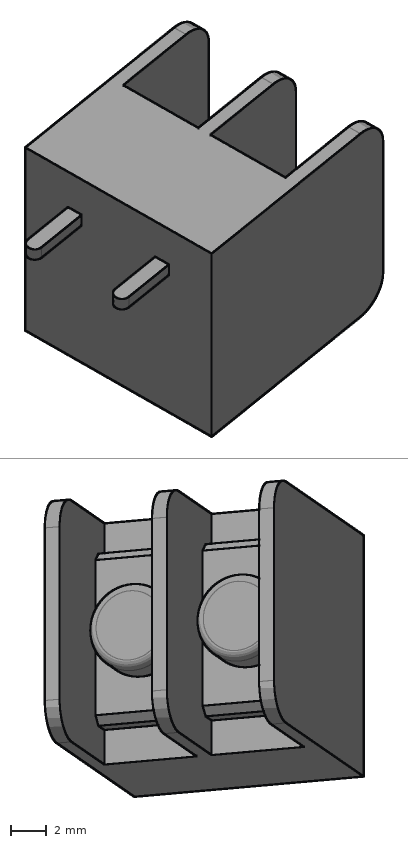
import cadquery as cq


width = 13.7
height = 14.0
total_depth = 19
housing_depth = 15.0
base_depth = 7.5
barrier_thickness = 0.9
corner_radius = 2.0

way_count = 2
barrier_count = way_count + 1
bay_width = (width - barrier_count * barrier_thickness) / way_count
pitch = bay_width + barrier_thickness
way_centers = [(i - (way_count - 1) / 2) * pitch for i in range(way_count)]

pad_thickness = 1.5
pad_height = 10.0
pad_chamfer = 0.5

screw_diameter = 5.0
head_thickness = 2.0
head_fillet = 0.5

pin_width = 1.0
pin_thickness = 0.8
pin_length = total_depth - housing_depth
pin_bottom = 10.5

mid_height = height / 2
pad_face = base_depth + pad_thickness


def block(size_x, size_y, size_z, center_x, start_y, bottom_z):
    """Box centred on center_x, growing in +Y from start_y and in +Z from bottom_z."""
    return (
        cq.Workplane("XY")
        .box(size_x, size_y, size_z, centered=(True, False, False))
        .translate((center_x, start_y, bottom_z))
    )


def make_barrier(center_x):
    """Full-depth plate with its two +Y corners rounded."""
    plate = block(barrier_thickness, housing_depth, height, center_x, 0, 0)
    return plate.faces(">Y").edges("|X").fillet(corner_radius)


def make_pad(center_x):
    """Raised seat filling a bay, chamfered along its upper and lower edges."""
    pad = block(bay_width, pad_thickness, pad_height, center_x, base_depth, mid_height - pad_height / 2)
    return pad.faces(">Y").edges("|X").chamfer(pad_chamfer)


def make_housing():
    """Base block joined to its barriers and screw pads."""
    housing = block(width, base_depth, height, 0, 0, 0)
    for i in range(barrier_count):
        housing = housing.union(make_barrier((i - way_count / 2) * pitch))
    for center_x in way_centers:
        housing = housing.union(make_pad(center_x))
    return housing


def make_screw(center_x):
    """Round screw head resting on its pad, with a filleted outer rim."""
    head = (
        cq.Workplane("XZ", origin=(center_x, pad_face, mid_height))
        .circle(screw_diameter / 2)
        .extrude(-head_thickness)
    )
    return head.faces(">Y").edges().fillet(head_fillet)


def make_pin(center_x):
    """Flat pin standing on the -Y face, with a fully rounded tip."""
    half_width = pin_width / 2
    shoulder_y = half_width - pin_length
    return (
        cq.Workplane("XY", origin=(center_x, 0, pin_bottom))
        .moveTo(-half_width, 0)
        .lineTo(-half_width, shoulder_y)
        .threePointArc((0, -pin_length), (half_width, shoulder_y))
        .lineTo(half_width, 0)
        .close()
        .extrude(pin_thickness)
    )


housing = make_housing()
screws = [make_screw(center_x) for center_x in way_centers]
pins = [make_pin(center_x) for center_x in way_centers]

result = cq.Compound.makeCompound([body.solids().val() for body in [housing, *screws, *pins]])